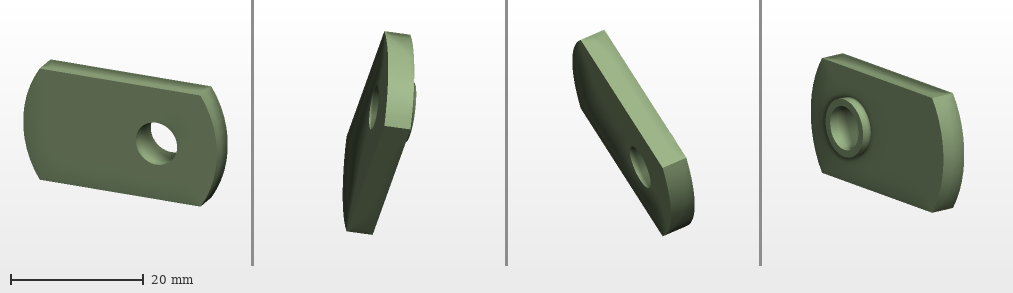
import cadquery as cq

length = 31.88
flat_length = 26.45
height = 18.0
plate_thickness = 4.02

boss_diameter = 9.0
boss_height = 1.5
hole_diameter = 6.8
hole_offset = 6.0

total_depth = plate_thickness + boss_height


def make_plate():
    """Plate with its front face at Y = 0, extending toward +Y."""
    half_flat = flat_length / 2
    half_length = length / 2
    half_height = height / 2
    return (
        cq.Workplane("XZ")
        .moveTo(-half_flat, half_height)
        .lineTo(half_flat, half_height)
        .threePointArc((half_length, 0), (half_flat, -half_height))
        .lineTo(-half_flat, -half_height)
        .threePointArc((-half_length, 0), (-half_flat, half_height))
        .close()
        .extrude(-plate_thickness)
    )


def make_cylinder(diameter):
    """Cylinder on the hole axis, running the full depth of the part."""
    return cq.Workplane("XZ").center(hole_offset, 0).circle(diameter / 2).extrude(-total_depth)


boss = make_cylinder(boss_diameter)
hole = make_cylinder(hole_diameter)
result = make_plate().union(boss).cut(hole)